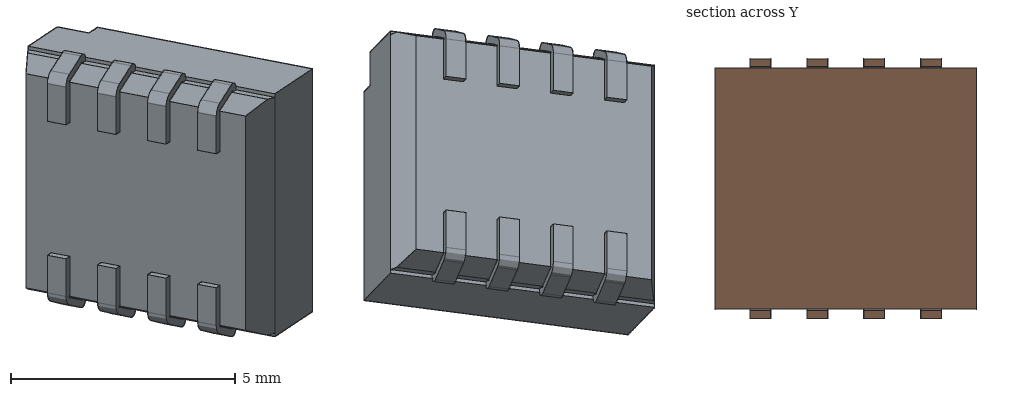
import cadquery as cq
import math

width = 6.25
total_depth = 2.7
total_height = 6.04

body_height = 5.8
bevel_depth = 0.745
bevel_inset = 0.345
step_depth = 0.18
bevel_slope = math.atan2(bevel_inset, bevel_depth)
step_drop = step_depth * bevel_inset / bevel_depth

notch_size = 0.8
notch_depth = 0.4

lead_count = 4
lead_pitch = 1.27
lead_width = 0.47
lead_thickness = 0.18
lead_end_drop = 1.3
lead_contact_depth = 0.16
lead_slope_gap = 0.025
root_radius = 0.155
bend_radius = 0.28

back_y = total_depth / 2
lead_front_y = -total_depth / 2
body_front_y = lead_front_y + lead_thickness
bevel_start_y = body_front_y + bevel_depth
body_top = body_height / 2
lead_top = total_height / 2


def make_body():
    """Block with a front tapered on four sides and a step along the top and bottom."""
    straight_depth = back_y - bevel_start_y
    block = (
        cq.Workplane("XZ", origin=(0, back_y, 0))
        .rect(width, body_height)
        .extrude(straight_depth)
    )
    front = (
        cq.Workplane("XZ", origin=(0, bevel_start_y, 0))
        .rect(width, body_height)
        .workplane(offset=bevel_depth)
        .rect(width - 2 * bevel_inset, body_height - 2 * bevel_inset)
        .loft(combine=True)
    )
    between_steps = cq.Workplane("XY").box(width, total_depth, body_height - 2 * step_drop)
    return block.union(front.intersect(between_steps))


def make_notch():
    """Triangular corner cut, open to the back, top and left of the body."""
    left = -width / 2
    corner = [(left, body_top), (left + notch_size, body_top), (left, body_top - notch_size)]
    return cq.Workplane("XZ", origin=(0, back_y, 0)).polyline(corner).close().extrude(notch_depth)


def make_lead(center_x):
    """Upper lead: rises from the step, follows the bevel and folds down over the front face."""
    def on_circle(center, radius, angle):
        return (center[0] - radius * math.sin(angle), center[1] + radius * math.cos(angle))

    root_z = lead_top - root_radius
    root_start_angle = -math.acos((body_top - root_z) / root_radius)
    root_center = (bevel_start_y + root_radius * math.sin(root_start_angle), root_z)
    root_start = (bevel_start_y, body_top)
    root_end = on_circle(root_center, root_radius, bevel_slope)

    bend_y = lead_front_y + bend_radius
    bend_end_y = bend_y - bend_radius * math.sin(bevel_slope)
    run = root_end[0] - bend_end_y
    bend_start = (bend_end_y, root_end[1] - run * math.tan(bevel_slope))
    bend_center = (bend_y, bend_start[1] - bend_radius * math.cos(bevel_slope))
    bend_middle = on_circle(bend_center, bend_radius, (bevel_slope + math.pi / 2) / 2)
    lead_end_z = body_top - lead_end_drop

    contact_end_y = bevel_start_y - lead_contact_depth

    return (
        cq.Workplane("YZ", origin=(center_x - lead_width / 2, 0, 0))
        .moveTo(*root_start)
        .threePointArc(on_circle(root_center, root_radius, 0), root_end)
        .lineTo(*bend_start)
        .threePointArc(bend_middle, (lead_front_y, bend_center[1]))
        .lineTo(lead_front_y, lead_end_z)
        .lineTo(body_front_y, lead_end_z)
        .lineTo(body_front_y, body_top - bevel_inset + lead_slope_gap)
        .lineTo(contact_end_y, body_top - step_drop + lead_slope_gap)
        .lineTo(contact_end_y, body_top - step_drop)
        .lineTo(bevel_start_y, body_top - step_drop)
        .close()
        .extrude(lead_width)
    )


result = make_body().cut(make_notch())
for index in range(lead_count):
    upper_lead = make_lead((index - (lead_count - 1) / 2) * lead_pitch)
    result = result.union(upper_lead).union(upper_lead.mirror("XY"))